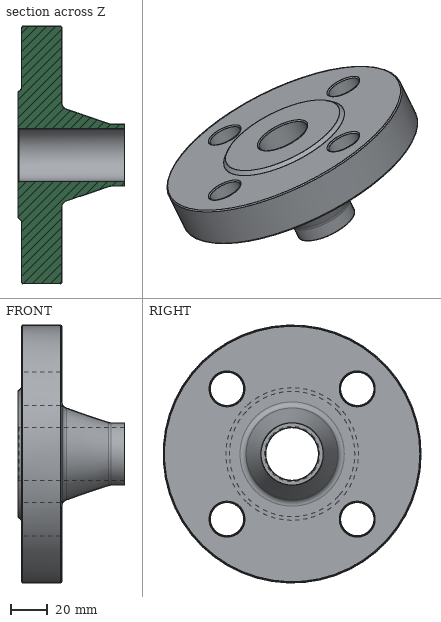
import cadquery as cq
import math

total_length = 58.0
face_height = 2.0
plate_thickness = 22.0
neck_length = 8.0

flange_diameter = 140.0
face_diameter = 68.0
hub_diameter = 50.4
neck_diameter = 33.7
bore_diameter = 28.5
bolt_hole_diameter = 18.0
bolt_circle_diameter = 100.0

edge_chamfer = 0.7
root_fillet = 3.5
neck_blend = 4.2
bolt_count = 4
first_bolt_angle = 45.0

selection_margin = 0.1

plate_front = face_height
plate_back = face_height + plate_thickness
neck_start = total_length - neck_length
hub_slope = (hub_diameter - neck_diameter) / 2 / (neck_start - plate_back - root_fillet / 2)
root_radius = hub_diameter / 2 + hub_slope * root_fillet / 2


def revolve_about_x(profile):
    return profile.close().revolve(360, (0, 0, 0), (1, 0, 0))


def make_plate():
    """Round plate with chamfered rims and a 45 degree raised face."""
    plate = cq.Workplane("YZ", origin=(plate_front, 0, 0)).circle(flange_diameter / 2)
    plate = plate.extrude(plate_thickness).edges().chamfer(edge_chamfer)
    raised_face = revolve_about_x(
        cq.Workplane("XY")
        .lineTo(0, face_diameter / 2)
        .lineTo(plate_front, face_diameter / 2 + face_height)
        .lineTo(plate_front, 0)
    )
    return plate.union(raised_face)


def make_hub():
    """Tapered hub that ends in a straight welding neck."""
    return revolve_about_x(
        cq.Workplane("XY")
        .moveTo(plate_back, 0)
        .lineTo(plate_back, root_radius)
        .lineTo(neck_start, neck_diameter / 2)
        .lineTo(total_length, neck_diameter / 2)
        .lineTo(total_length, 0)
    )


def edges_at(x, reach):
    """Select the edges lying in the plane at x, within reach of the axis."""
    return cq.selectors.BoxSelector(
        (x - selection_margin, -reach, -reach),
        (x + selection_margin, reach, reach),
        boundingbox=True,
    )


def blend_hub(body):
    """Round the hub's root and the bend between taper and neck."""
    body = body.edges(edges_at(plate_back, face_diameter / 2)).fillet(root_fillet)
    return body.edges(edges_at(neck_start, face_diameter / 2)).fillet(neck_blend)


def hole_cutter(diameter, start, end, chamfer_end):
    """Drill along X, with a chamfer at the start and, if asked, at the end."""
    radius = diameter / 2
    end_radius = radius + (edge_chamfer if chamfer_end else 0)
    return revolve_about_x(
        cq.Workplane("XY")
        .moveTo(start, 0)
        .lineTo(start, radius + edge_chamfer)
        .lineTo(start + edge_chamfer, radius)
        .lineTo(end - edge_chamfer, radius)
        .lineTo(end, end_radius)
        .lineTo(end, 0)
    )


result = blend_hub(make_plate().union(make_hub()))
result = result.cut(hole_cutter(bore_diameter, 0, total_length, False))

bolt_cutter = hole_cutter(bolt_hole_diameter, plate_front, plate_back, True)
for index in range(bolt_count):
    angle = math.radians(first_bolt_angle + index * 360 / bolt_count)
    y = bolt_circle_diameter / 2 * math.cos(angle)
    z = bolt_circle_diameter / 2 * math.sin(angle)
    result = result.cut(bolt_cutter.translate((0, y, z)))